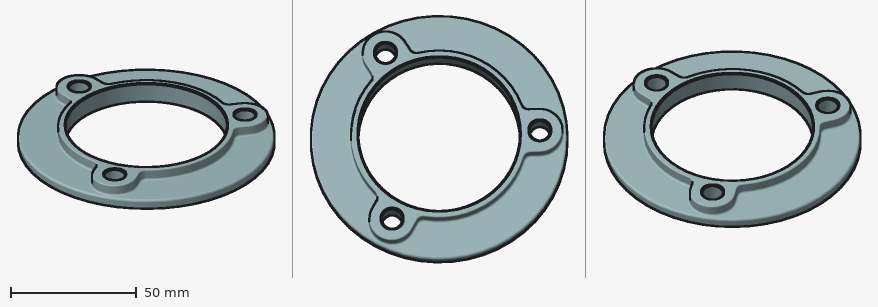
import cadquery as cq
import math

flange_diameter = 102.0
flange_radius = flange_diameter / 2
flange_thickness = 4.0
flange_top_fillet = 1.0
flange_bottom_chamfer = 0.3

total_height = 8.5
collar_height = total_height - flange_thickness
collar_radius = 35.0
bore_radius = 32.0
bore_chamfer = 0.4

lug_count = 3
lug_spacing = 360 / lug_count
lug_pitch_radius = 40.0
lug_radius = 9.1
lug_blend_radius = 3.0
screw_hole_radius = 4.1
screw_hole_chamfer = 0.5

foot_fillet = 0.8
top_fillet = 0.5

position_tolerance = 0.01


def make_flange():
    flange = cq.Workplane("XY").circle(flange_radius).extrude(flange_thickness)
    flange = flange.faces(">Z").edges().fillet(flange_top_fillet)
    return flange.faces("<Z").edges().chamfer(flange_bottom_chamfer)


def make_lug(angle):
    """Round-ended lug reaching from inside the collar out past the screw hole."""
    lug = (
        cq.Workplane("XY", origin=(0, 0, flange_thickness))
        .center(0, -lug_pitch_radius / 2)
        .rect(2 * lug_radius, lug_pitch_radius)
        .extrude(collar_height)
    )
    round_end = (
        cq.Workplane("XY", origin=(0, -lug_pitch_radius, flange_thickness))
        .circle(lug_radius)
        .extrude(collar_height)
    )
    return lug.union(round_end).rotate((0, 0, 0), (0, 0, 1), angle)


def make_raised_body():
    """Collar with lugs, concave corner blends and a rounded top rim."""
    body = (
        cq.Workplane("XY", origin=(0, 0, flange_thickness))
        .circle(collar_radius)
        .extrude(collar_height)
    )
    for index in range(lug_count):
        body = body.union(make_lug(index * lug_spacing))

    corner_edges = body.edges("|Z").filter(is_on_collar)
    body = corner_edges.fillet(lug_blend_radius)
    return body.faces(">Z").edges().fillet(top_fillet)


def is_on_collar(edge):
    center = edge.Center()
    return abs(math.hypot(center.x, center.y) - collar_radius) < position_tolerance


def is_on_raised_foot(edge):
    """True for edges where the raised body meets the top of the flange."""
    box = edge.BoundingBox()
    height_error = max(abs(box.zmin - flange_thickness), abs(box.zmax - flange_thickness))
    point = edge.positionAt(0)
    reach = lug_pitch_radius + lug_radius + position_tolerance
    return height_error < position_tolerance and math.hypot(point.x, point.y) < reach


def cut_holes(part):
    """Bore and screw holes, all chamfered at the top."""
    part = part.cut(make_chamfered_cutter(bore_radius, bore_chamfer))
    screw_cutter = make_chamfered_cutter(screw_hole_radius, screw_hole_chamfer)
    screw_cutter = screw_cutter.translate((0, -lug_pitch_radius, 0))
    for index in range(lug_count):
        part = part.cut(screw_cutter.rotate((0, 0, 0), (0, 0, 1), index * lug_spacing))
    return part


def make_chamfered_cutter(radius, chamfer):
    """Full-height cylinder flaring outward at its top end."""
    return (
        cq.Workplane("XZ")
        .lineTo(radius, 0)
        .lineTo(radius, total_height - chamfer)
        .lineTo(radius + chamfer, total_height)
        .lineTo(0, total_height)
        .close()
        .revolve(360, (0, 0, 0), (0, 1, 0))
    )


part = make_flange().union(make_raised_body())
part = part.edges().filter(is_on_raised_foot).fillet(foot_fillet)
result = cut_holes(part)